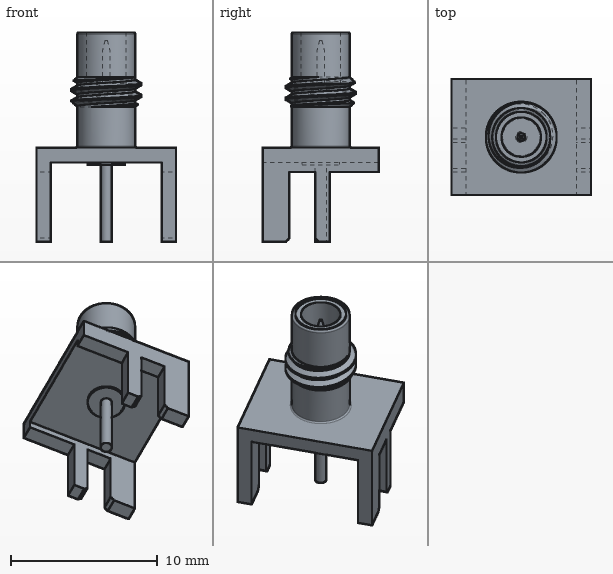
import cadquery as cq
import math

plate_length = 9.53
plate_width = 7.92
plate_thickness = 1.03
rail_width = 1.0
rail_height = 1.67
leg_length = 6.42
front_leg_width = 1.83
rear_leg_width = 1.0
rear_leg_front_y = -0.38
leg_chamfer = 0.25

barrel_diameter = 3.96
barrel_height = 7.85
rim_fillet = 0.13
base_fillet = 0.1
rim_recess_diameter = 3.45
rim_recess_depth = 0.05
bore_diameter = 2.69
bore_depth = 3.5

thread_diameter = 4.83
thread_pitch = 25.4 / 32
thread_angle = 60.0
crest_flat = thread_pitch / 8
thread_top = barrel_height - 3.05
thread_bottom = barrel_height - 5.08
crest_height_at_plus_x = barrel_height - 3.53
run_in_turns = 3
helix_turns = 4
root_overlap = 0.08

contact_diameter = 0.53
contact_tip_diameter = 0.16
contact_tip_depth = 0.55
contact_taper_height = 0.75
tail_diameter = 0.76
insulator_diameter = 2.54
insulator_protrusion = 0.15

barrel_radius = barrel_diameter / 2
thread_radius = thread_diameter / 2


def make_bracket():
    """Plate with a side rail along each X edge, each rail carrying two legs."""
    plate = cq.Workplane("XY").box(plate_length, plate_width, plate_thickness, centered=(True, True, False))
    bracket = plate.translate((0, 0, -plate_thickness))
    front_y = -plate_width / 2
    rear_y = plate_width / 2
    front_leg_rear_y = front_y + front_leg_width
    rear_leg_rear_y = rear_leg_front_y + rear_leg_width
    side_outline = [
        (front_y, 0),
        (front_y, -leg_length),
        (front_leg_rear_y - leg_chamfer, -leg_length),
        (front_leg_rear_y, -leg_length + leg_chamfer),
        (front_leg_rear_y, -rail_height),
        (rear_leg_front_y, -rail_height),
        (rear_leg_front_y, -leg_length + leg_chamfer),
        (rear_leg_front_y + leg_chamfer, -leg_length),
        (rear_leg_rear_y, -leg_length),
        (rear_leg_rear_y, -rail_height),
        (rear_y, -rail_height),
        (rear_y, 0),
    ]
    for rail_start_x in (-plate_length / 2, plate_length / 2 - rail_width):
        side_plane = cq.Workplane("YZ", origin=(rail_start_x, 0, 0))
        bracket = bracket.union(side_plane.polyline(side_outline).close().extrude(rail_width))
    return bracket


def make_barrel():
    """Solid barrel with a rounded rim and a small concave fillet where it meets the plate."""
    arc_inset = 1 - math.sqrt(0.5)
    return (
        cq.Workplane("XZ")
        .moveTo(0, -plate_thickness / 2)
        .lineTo(barrel_radius + base_fillet, -plate_thickness / 2)
        .lineTo(barrel_radius + base_fillet, 0)
        .threePointArc(
            (barrel_radius + base_fillet * arc_inset, base_fillet * arc_inset),
            (barrel_radius, base_fillet),
        )
        .lineTo(barrel_radius, barrel_height - rim_fillet)
        .threePointArc(
            (barrel_radius - rim_fillet * arc_inset, barrel_height - rim_fillet * arc_inset),
            (barrel_radius - rim_fillet, barrel_height),
        )
        .lineTo(0, barrel_height)
        .close()
        .revolve(360, (0, 0, 0), (0, 1, 0))
    )


def make_thread():
    """Helical ridge trimmed by 45 degree cones at both ends of the threaded length."""
    root_radius = barrel_radius - root_overlap
    half_crest = crest_flat / 2
    half_root = half_crest + (thread_radius - root_radius) * math.tan(math.radians(thread_angle / 2))
    start_z = crest_height_at_plus_x - run_in_turns * thread_pitch
    helix = cq.Wire.makeHelix(thread_pitch, helix_turns * thread_pitch, barrel_radius)
    ridge = (
        cq.Workplane("XZ")
        .polyline([
            (root_radius, -half_root),
            (thread_radius, -half_crest),
            (thread_radius, half_crest),
            (root_radius, half_root),
        ])
        .close()
        .sweep(cq.Workplane(obj=helix), isFrenet=True)
        .translate((0, 0, start_z))
    )
    cone_run = thread_radius - barrel_radius + root_overlap
    envelope = (
        cq.Workplane("XZ")
        .polyline([
            (0, thread_bottom),
            (barrel_radius, thread_bottom),
            (barrel_radius + cone_run, thread_bottom + cone_run),
            (barrel_radius + cone_run, thread_top - cone_run),
            (barrel_radius, thread_top),
            (0, thread_top),
        ])
        .close()
        .revolve(360, (0, 0, 0), (0, 1, 0))
    )
    return ridge.intersect(envelope)


def make_cavity():
    """Blind bore of the barrel and the shallow step inside its rim."""
    mouth = cq.Workplane("XY", origin=(0, 0, barrel_height))
    bore = mouth.circle(bore_diameter / 2).extrude(-bore_depth)
    recess = mouth.circle(rim_recess_diameter / 2).extrude(-rim_recess_depth)
    return bore.union(recess)


def make_contact():
    """Contact pin with a tapered, flat-ended tip, standing on the bore floor."""
    contact_radius = contact_diameter / 2
    tip_z = barrel_height - contact_tip_depth
    return (
        cq.Workplane("XZ")
        .polyline([
            (0, 0),
            (contact_radius, 0),
            (contact_radius, tip_z - contact_taper_height),
            (contact_tip_diameter / 2, tip_z),
            (0, tip_z),
        ])
        .close()
        .revolve(360, (0, 0, 0), (0, 1, 0))
    )


def make_underside():
    """Insulator disc below the plate and the solder tail, which ends level with the legs."""
    insulator_depth = plate_thickness + insulator_protrusion
    insulator = cq.Workplane("XY").circle(insulator_diameter / 2).extrude(-insulator_depth)
    tail = cq.Workplane("XY").circle(tail_diameter / 2).extrude(-leg_length)
    return insulator.union(tail)


result = (
    make_bracket()
    .union(make_barrel())
    .union(make_thread())
    .cut(make_cavity())
    .union(make_contact())
    .union(make_underside())
)